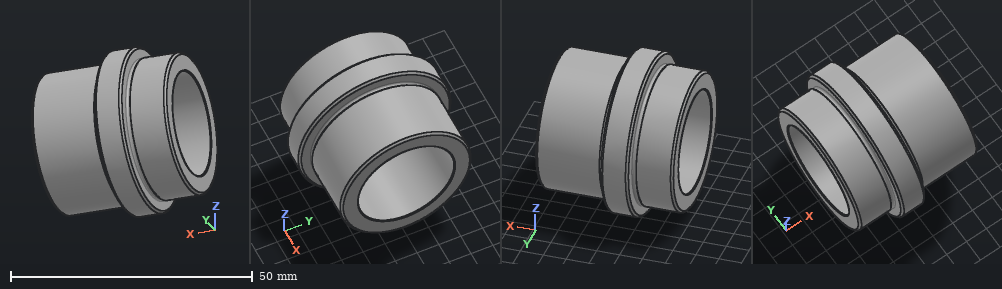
import cadquery as cq

length = 30.0
body_diameter = 30.0
flange_diameter = 35.0
bore_diameter = 22.0

flange_start = 9.0
flange_width = 6.0
relief_width = 1.0
edge_chamfer = 0.5
bore_chamfer = 0.2

body_radius = body_diameter / 2
flange_radius = flange_diameter / 2
bore_radius = bore_diameter / 2
flange_end = flange_start + flange_width
relief_radius = relief_width / 2


def half_section():
    """Outline of the tube wall on the +Y side of the X axis."""
    return (
        cq.Workplane("XY")
        .moveTo(0, bore_radius + bore_chamfer)
        .lineTo(0, body_radius - edge_chamfer)
        .lineTo(edge_chamfer, body_radius)
        .lineTo(flange_start - relief_width, body_radius)
        .threePointArc(
            (flange_start - relief_radius, body_radius - relief_radius),
            (flange_start, body_radius),
        )
        .lineTo(flange_start, flange_radius - edge_chamfer)
        .lineTo(flange_start + edge_chamfer, flange_radius)
        .lineTo(flange_end - edge_chamfer, flange_radius)
        .lineTo(flange_end, flange_radius - edge_chamfer)
        .lineTo(flange_end, body_radius)
        .threePointArc(
            (flange_end + relief_radius, body_radius - relief_radius),
            (flange_end + relief_width, body_radius),
        )
        .lineTo(length - edge_chamfer, body_radius)
        .lineTo(length, body_radius - edge_chamfer)
        .lineTo(length, bore_radius + bore_chamfer)
        .lineTo(length - bore_chamfer, bore_radius)
        .lineTo(bore_chamfer, bore_radius)
        .close()
    )


result = half_section().revolve(360, (0, 0, 0), (1, 0, 0))